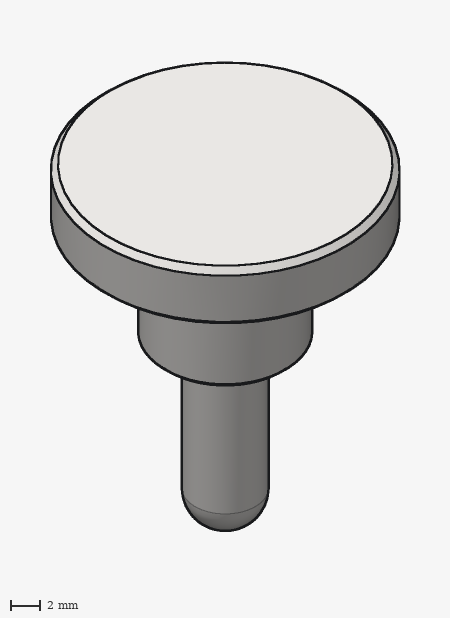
import cadquery as cq

total_length = 31.0
head_diameter = 24.0
head_thickness = 5.0
hub_diameter = head_diameter / 2
hub_length = 2 * head_thickness
pin_diameter = hub_diameter / 2
edge_chamfer = 0.5

head_bottom = total_length - head_thickness
hub_bottom = head_bottom - hub_length
pin_radius = pin_diameter / 2


def cylinder(diameter, bottom, top):
    """Upright cylinder centred on the Z axis."""
    return cq.Workplane("XY").workplane(offset=bottom).circle(diameter / 2).extrude(top - bottom)


head = cylinder(head_diameter, head_bottom, total_length).edges().chamfer(edge_chamfer)

hub = cylinder(hub_diameter, hub_bottom, head_bottom).faces("<Z").edges().chamfer(edge_chamfer)

pin_shank = cylinder(pin_diameter, pin_radius, hub_bottom)
pin_tip = cq.Workplane("XY").sphere(pin_radius).translate((0, 0, pin_radius))

result = head.union(hub).union(pin_shank).union(pin_tip)